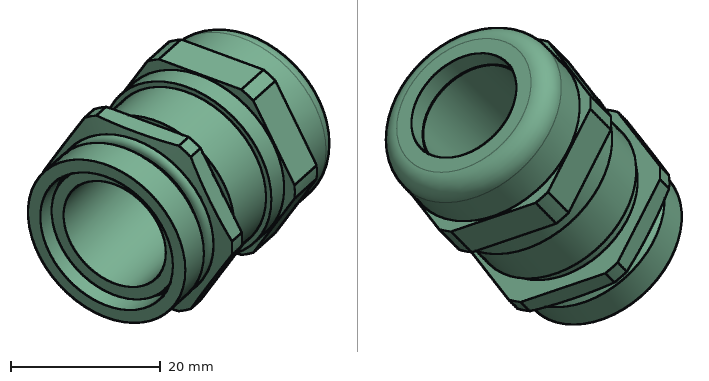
import cadquery as cq
import math


ACROSS_FLATS = 27.0
CORNER_RADIUS = 15.0
HEX_CHAMFER_ANGLE = 15.0

BODY_RADIUS = 12.5
NECK_RADIUS = 10.95
UNDERCUT_RADIUS = 11.55
CONNECTION_LENGTH = 4.6
BODY_HEX_START = 7.0
BODY_HEX_END = 10.1
UNDERCUT_END = 12.15
BODY_END = 28.65
BODY_BORE_RADIUS = 10.0
MOUTH_RADIUS = 10.5
MOUTH_DEPTH = 3.65

RING_SECTION_RADIUS = 0.88
RING_CENTER_Y = 6.8
RING_CENTER_RADIUS = BODY_RADIUS - RING_SECTION_RADIUS

CAP_RADIUS = 13.32
CAP_START = 20.0
CAP_HEX_START = 23.18
CAP_HEX_END = BODY_END
CAP_END = 36.5
CAP_ROUND = 2.95
CAP_LIP = 2.95

BORE_RADIUS = 8.1
INLET_START = 2.0
SEAL_BORE_RADIUS = 8.0
SEAL_START = CAP_START
SEAL_END = CAP_END - CAP_LIP


def cylinder(radius, start, end):
    """Solid cylinder about the Y axis between two Y positions."""
    return cq.Workplane("XZ", origin=(0, start, 0)).circle(radius).extrude(start - end)


def revolve_profile(profile):
    """Revolve a closed (radius, Y) outline about the Y axis."""
    return profile.close().revolve(360, (0, 0, 0), (0, 1, 0))


def rounded_hexagon(start, end):
    """Hexagon with flats facing +Z and -Z and its corners turned down."""
    full_diameter = ACROSS_FLATS / math.cos(math.radians(30))
    workplane = cq.Workplane("XZ", origin=(0, start, 0))
    hexagon = workplane.polygon(6, full_diameter).extrude(start - end)
    return hexagon.intersect(cylinder(CORNER_RADIUS, start, end))


def make_body_hexagon():
    """Hexagon with a conical chamfer on its lower end."""
    rise = (CORNER_RADIUS - BODY_RADIUS) * math.tan(math.radians(HEX_CHAMFER_ANGLE))
    envelope = revolve_profile(
        cq.Workplane("XY")
        .moveTo(0, BODY_HEX_START)
        .lineTo(BODY_RADIUS, BODY_HEX_START)
        .lineTo(CORNER_RADIUS, BODY_HEX_START + rise)
        .lineTo(CORNER_RADIUS, BODY_HEX_END)
        .lineTo(0, BODY_HEX_END)
    )
    return rounded_hexagon(BODY_HEX_START, BODY_HEX_END).intersect(envelope)


def make_body():
    """Gland body with a wider mouth, a through bore and a seat for the sealing ring."""
    groove_start = CONNECTION_LENGTH + BODY_RADIUS - NECK_RADIUS
    sleeve = revolve_profile(
        cq.Workplane("XY")
        .moveTo(MOUTH_RADIUS, 0)
        .lineTo(BODY_RADIUS, 0)
        .lineTo(BODY_RADIUS, CONNECTION_LENGTH)
        .lineTo(NECK_RADIUS, groove_start)
        .lineTo(NECK_RADIUS, BODY_HEX_START)
        .lineTo(UNDERCUT_RADIUS, BODY_HEX_START)
        .lineTo(UNDERCUT_RADIUS, UNDERCUT_END)
        .lineTo(BODY_RADIUS, UNDERCUT_END)
        .lineTo(BODY_RADIUS, BODY_END)
        .lineTo(BODY_BORE_RADIUS, BODY_END)
        .lineTo(BODY_BORE_RADIUS, MOUTH_DEPTH)
        .lineTo(MOUTH_RADIUS, MOUTH_DEPTH)
    )
    collar = make_body_hexagon().cut(cylinder(NECK_RADIUS, BODY_HEX_START, BODY_HEX_END))
    return sleeve.union(collar).cut(make_sealing_ring())


def make_sealing_ring():
    """Ring of round section, flush with the outside of the threads."""
    center = cq.Vector(0, RING_CENTER_Y, 0)
    ring_axis = cq.Vector(0, 1, 0)
    torus = cq.Solid.makeTorus(RING_CENTER_RADIUS, RING_SECTION_RADIUS, center, ring_axis)
    return cq.Workplane(torus)


def make_tube(bore_radius, start, end):
    """Plain tube that fills the body's bore between two Y positions."""
    return cylinder(BODY_BORE_RADIUS, start, end).cut(cylinder(bore_radius, start, end))


def make_cap():
    """Domed cap nut with a hexagon, fitting over the body and the seal."""
    shell = cylinder(CAP_RADIUS, CAP_START, CAP_END).faces(">Y").edges().fillet(CAP_ROUND)
    return (
        shell.union(rounded_hexagon(CAP_HEX_START, CAP_HEX_END))
        .cut(cylinder(BODY_RADIUS, CAP_START, BODY_END))
        .cut(cylinder(BODY_BORE_RADIUS, BODY_END, SEAL_END))
        .cut(cylinder(BORE_RADIUS, SEAL_END, CAP_END))
    )


body = make_body()
sealing_ring = make_sealing_ring()
inlet_sleeve = make_tube(BORE_RADIUS, INLET_START, SEAL_START)
seal = make_tube(SEAL_BORE_RADIUS, SEAL_START, SEAL_END)
cap = make_cap()

bodies = (body, sealing_ring, inlet_sleeve, seal, cap)
result = cq.Compound.makeCompound([part.solids().val() for part in bodies])